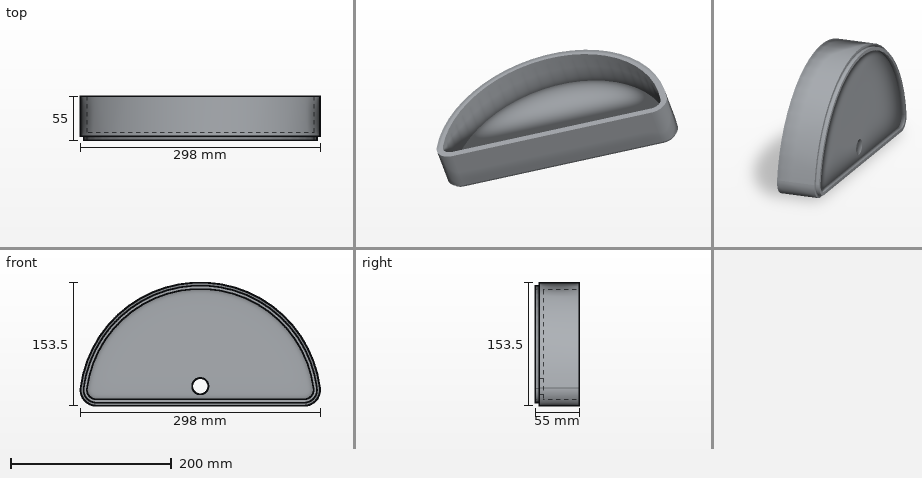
import cadquery as cq
import math

width = 298.0
height = 153.5
depth = 55.0
corner_radius = 20.0
lip_depth = 5.0
lip_setback = 4.0
wall = 8.0
recess_depth = 5.0
panel_thickness = 5.0
hole_diameter = 20.0
hole_height = 24.5

corner_x = width / 2 - corner_radius
top_to_corner = height - corner_radius
arc_center_z = (top_to_corner**2 - corner_radius**2 - corner_x**2) / (2 * (top_to_corner - corner_radius))
arc_radius = height - arc_center_z
tangent_angle = math.atan2(corner_radius - arc_center_z, corner_x)


def half_round_block(inset, front, length):
    """Extrude the body outline, moved inward by inset, from Y = front toward +Y."""
    radius = corner_radius - inset
    tangent_x = corner_x + radius * math.cos(tangent_angle)
    tangent_z = corner_radius + radius * math.sin(tangent_angle)
    middle_angle = (tangent_angle - math.pi / 2) / 2
    middle_x = corner_x + radius * math.cos(middle_angle)
    middle_z = corner_radius + radius * math.sin(middle_angle)
    top_z = arc_center_z + arc_radius - inset
    return (
        cq.Workplane("XZ", origin=(0, front, 0))
        .moveTo(-corner_x, inset)
        .lineTo(corner_x, inset)
        .threePointArc((middle_x, middle_z), (tangent_x, tangent_z))
        .threePointArc((0, top_z), (-tangent_x, tangent_z))
        .threePointArc((-middle_x, middle_z), (-corner_x, inset))
        .close()
        .extrude(-length)
    )


body = half_round_block(0, lip_depth, depth - lip_depth)
lip = half_round_block(lip_setback, 0, lip_depth)

recess = half_round_block(wall, 0, recess_depth)
cavity_front = recess_depth + panel_thickness
cavity = half_round_block(wall, cavity_front, depth - cavity_front)

hole = cq.Workplane("XZ").center(0, hole_height).circle(hole_diameter / 2).extrude(-depth)

result = body.union(lip).cut(recess).cut(cavity).cut(hole)